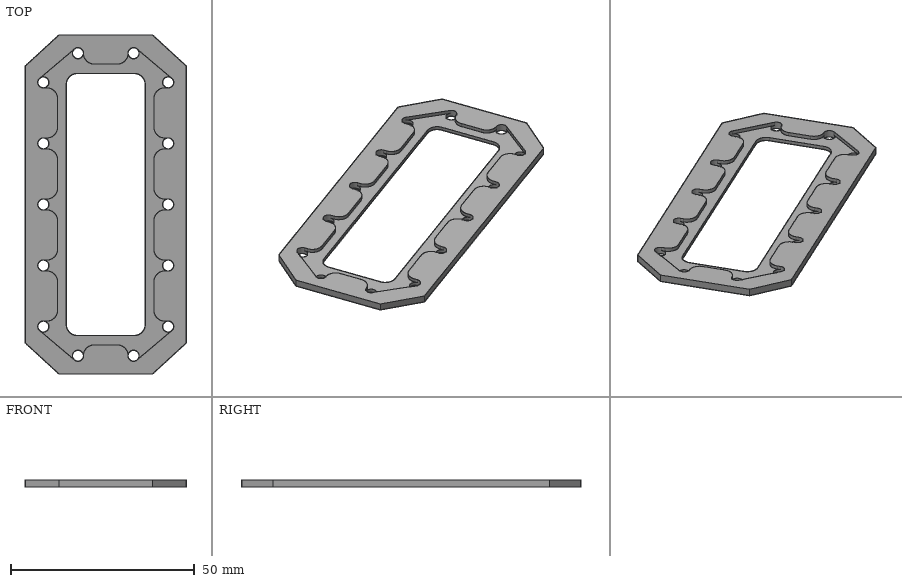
import cadquery as cq
import math

width = 44.0
length = 92.4
thickness = 2.0
end_edge_width = 25.5
side_edge_length = 75.4

window_width = 21.4
window_length = 71.3
window_corner_radius = 3.0

hole_diameter = 3.0
side_hole_x = 17.0
side_hole_pitch = 16.6
side_hole_count = 5
end_hole_x = 7.6
end_hole_y = 41.2

recess_depth = thickness / 2
recess_floor_z = thickness - recess_depth
recess_half_width = 13.1
recess_half_length = 38.25
land_corner_radius = end_hole_y - recess_half_length

hole_radius = hole_diameter / 2
last_side_hole_y = side_hole_pitch * (side_hole_count - 1) / 2
SIGNS = (-1, 1)


def octagon_points(half_x, half_y, end_half_x, side_half_y):
    """Corners of an octagon symmetric about both axes, counter-clockwise."""
    return [
        (half_x, -side_half_y),
        (half_x, side_half_y),
        (end_half_x, half_y),
        (-end_half_x, half_y),
        (-half_x, side_half_y),
        (-half_x, -side_half_y),
        (-end_half_x, -half_y),
        (end_half_x, -half_y),
    ]


def hole_centres():
    side = [
        (sign * side_hole_x, index * side_hole_pitch - last_side_hole_y)
        for sign in SIGNS
        for index in range(side_hole_count)
    ]
    end = [(sx * end_hole_x, sy * end_hole_y) for sx in SIGNS for sy in SIGNS]
    return side + end


def rounded_block(centre, size_x, size_y):
    """A land: a block with rounded corners standing on the recess floor."""
    return (
        cq.Workplane("XY", origin=(centre[0], centre[1], recess_floor_z))
        .rect(size_x, size_y)
        .extrude(recess_depth)
        .edges("|Z")
        .fillet(land_corner_radius)
    )


def make_lands():
    """Lands fit exactly between holes; their outer halves lie outside the recess."""
    side_size_x = 2 * (width / 2 - recess_half_width)
    side_size_y = side_hole_pitch - hole_diameter
    end_size_x = 2 * end_hole_x - hole_diameter
    end_size_y = 2 * (length / 2 - recess_half_length)
    lands = []
    for sign in SIGNS:
        for gap in range(side_hole_count - 1):
            y = (gap + 0.5) * side_hole_pitch - last_side_hole_y
            lands.append(rounded_block((sign * width / 2, y), side_size_x, side_size_y))
        lands.append(rounded_block((0, sign * length / 2), end_size_x, end_size_y))
    return lands


def make_corner_strip(sign_x, sign_y):
    """Strip as wide as a hole, from centre to centre of the two holes beside one clipped corner."""
    run = sign_x * (side_hole_x - end_hole_x)
    rise = sign_y * (last_side_hole_y - end_hole_y)
    centre_x = sign_x * (side_hole_x + end_hole_x) / 2
    centre_y = sign_y * (last_side_hole_y + end_hole_y) / 2
    return (
        cq.Workplane("XY", origin=(centre_x, centre_y, recess_floor_z))
        .transformed(rotate=(0, 0, math.degrees(math.atan2(rise, run))))
        .rect(math.hypot(run, rise), hole_diameter)
        .extrude(recess_depth)
    )


def make_recess():
    """Octagon through the hole centres, widened at its corners, less the lands."""
    recess = (
        cq.Workplane("XY", origin=(0, 0, recess_floor_z))
        .polyline(octagon_points(side_hole_x, end_hole_y, end_hole_x, last_side_hole_y))
        .close()
        .extrude(recess_depth)
    )
    for land in make_lands():
        recess = recess.cut(land)
    for sign_x in SIGNS:
        for sign_y in SIGNS:
            recess = recess.union(make_corner_strip(sign_x, sign_y))
    return recess


plate = (
    cq.Workplane("XY")
    .polyline(octagon_points(width / 2, length / 2, end_edge_width / 2, side_edge_length / 2))
    .close()
    .extrude(thickness)
)
window = (
    cq.Workplane("XY")
    .rect(window_width, window_length)
    .extrude(thickness)
    .edges("|Z")
    .fillet(window_corner_radius)
)
holes = cq.Workplane("XY").pushPoints(hole_centres()).circle(hole_radius).extrude(thickness)

result = plate.cut(make_recess()).cut(window).cut(holes)